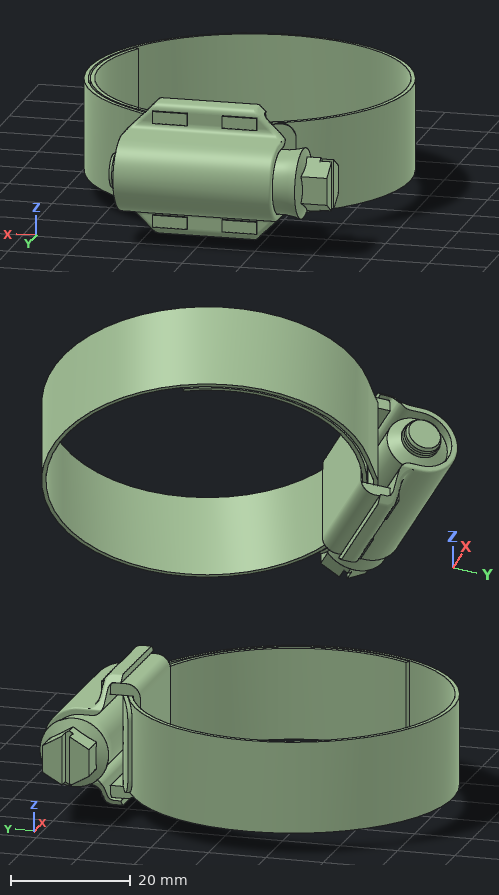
import cadquery as cq
import math


RING_RADIUS = 27.7
BAND_THICKNESS = 0.75
BAND_HALF_WIDTH = 7.95
LAP_RADIUS = 26.6
TONGUE_RADIUS = 28.5
CROSSING_HEIGHT = 27.1
LAP_END_ANGLE = -30
LAP_START_ANGLE = 65
RING_START_ANGLE = 109
RING_MIDWAY_ANGLE = 270
TONGUE_START_ANGLE = 69
TONGUE_END_ANGLE = 120
TONGUE_CORNER_RADIUS = 2.7

SCREW_AXIS_Y = 33.0
HOUSING_RADIUS = 6.7
SHEET = 1.2
HOUSING_HALF_LENGTH = 13.6
FLANGE_TOP_Y = 30.45
FLANGE_BOTTOM_Y = FLANGE_TOP_Y - SHEET
LIP_END_Y = 27.2
LIP_HALF_SPAN = 11.49
UPPER_BEND_RADIUS = 1.5
UNDERSIDE_BEND_RADIUS = 1.9
LIP_INNER_RADIUS = 0.95
TAPER_START_Z = 6.4
RIM_EDGE_RADIUS = 0.4
TAPER_EDGE_RADIUS = 0.8

SADDLE_HALF_LENGTH = 8.95
SADDLE_HALF_SPAN = 10.05
SADDLE_BOTTOM_Y = 24.05
SADDLE_FLOOR_THICKNESS = 1.2
SADDLE_CORNER_RADIUS = 2.5
TAB_TOP_Y = 30.85
TAB_GAP_HALF_LENGTH = 3.0

HEX_FLATS = 8.1
HEX_START_X = -22.65
DRIVE_SLOT_WIDTH = 1.35
DRIVE_SLOT_DEPTH = 2.0
HEAD_FACE_X = -18.45
HEAD_FACE_RADIUS = 4.05
RIM_X = -17.6
RIM_RADIUS = 6.0
SHANK_RADIUS = 5.4
SHANK_END_X = 11.7
NECK_X = 13.1
NECK_RADIUS = 3.4
RIVET_START_X = 13.75
RIVET_FACE_X = 14.0
RIVET_RADIUS = 3.2
RIVET_BEVEL_X = 14.6
RIVET_END_X = 15.15
RIVET_END_RADIUS = 2.8


def polar(radius, degrees):
    """Point in the XY plane at an angle from +X about the ring centre."""
    angle = math.radians(degrees)
    return (radius * math.cos(angle), radius * math.sin(angle))


def run_out_angle(ring_radius, tongue_radius):
    """Angle where the straight from the tongue start is tangent to the ring."""
    return TONGUE_START_ANGLE - math.degrees(math.acos(ring_radius / tongue_radius))


def make_band():
    """One strip: lap layer, under the screw, once around the ring, then over itself as a tongue."""
    ring_inner = RING_RADIUS - BAND_THICKNESS
    lap_inner = LAP_RADIUS - BAND_THICKNESS
    tongue_inner = TONGUE_RADIUS - BAND_THICKNESS
    lap_mid_angle = (LAP_END_ANGLE + LAP_START_ANGLE) / 2
    tongue_mid_angle = (TONGUE_START_ANGLE + TONGUE_END_ANGLE) / 2
    strip = (
        cq.Workplane("XY", origin=(0, 0, -BAND_HALF_WIDTH))
        .moveTo(*polar(LAP_RADIUS, LAP_END_ANGLE))
        .threePointArc(polar(LAP_RADIUS, lap_mid_angle), polar(LAP_RADIUS, LAP_START_ANGLE))
        .threePointArc((0, CROSSING_HEIGHT), polar(RING_RADIUS, RING_START_ANGLE))
        .threePointArc(
            polar(RING_RADIUS, RING_MIDWAY_ANGLE),
            polar(RING_RADIUS, run_out_angle(RING_RADIUS, TONGUE_RADIUS)),
        )
        .lineTo(*polar(TONGUE_RADIUS, TONGUE_START_ANGLE))
        .threePointArc(polar(TONGUE_RADIUS, tongue_mid_angle), polar(TONGUE_RADIUS, TONGUE_END_ANGLE))
        .lineTo(*polar(tongue_inner, TONGUE_END_ANGLE))
        .threePointArc(polar(tongue_inner, tongue_mid_angle), polar(tongue_inner, TONGUE_START_ANGLE))
        .lineTo(*polar(ring_inner, run_out_angle(ring_inner, tongue_inner)))
        .threePointArc(polar(ring_inner, RING_MIDWAY_ANGLE), polar(ring_inner, RING_START_ANGLE))
        .threePointArc((0, CROSSING_HEIGHT - BAND_THICKNESS), polar(lap_inner, LAP_START_ANGLE))
        .threePointArc(polar(lap_inner, lap_mid_angle), polar(lap_inner, LAP_END_ANGLE))
        .close()
        .extrude(2 * BAND_HALF_WIDTH)
    )
    tongue_x, tongue_y = polar(TONGUE_RADIUS - BAND_THICKNESS / 2, TONGUE_END_ANGLE)
    for z in (-BAND_HALF_WIDTH, BAND_HALF_WIDTH):
        corner = cq.selectors.NearestToPointSelector((tongue_x, tongue_y, z))
        strip = strip.edges(corner).fillet(TONGUE_CORNER_RADIUS)
    return strip


def make_housing():
    """Half-round sheet cover with a flange and a turned-down lip on each side."""
    inner_radius = HOUSING_RADIUS - SHEET
    lip_inner = LIP_HALF_SPAN - SHEET
    upper, under, lip_bend = UPPER_BEND_RADIUS, UNDERSIDE_BEND_RADIUS, LIP_INNER_RADIUS
    half = (
        cq.Workplane("YZ", origin=(-HOUSING_HALF_LENGTH, 0, 0))
        .moveTo(SCREW_AXIS_Y, HOUSING_RADIUS)
        .lineTo(FLANGE_TOP_Y + upper, HOUSING_RADIUS)
        .tangentArcPoint((FLANGE_TOP_Y, HOUSING_RADIUS + upper), relative=False)
        .lineTo(FLANGE_TOP_Y, LIP_HALF_SPAN - upper)
        .radiusArc((FLANGE_TOP_Y - upper, LIP_HALF_SPAN), -upper)
        .lineTo(LIP_END_Y, LIP_HALF_SPAN)
        .lineTo(LIP_END_Y, lip_inner)
        .lineTo(FLANGE_BOTTOM_Y - lip_bend, lip_inner)
        .tangentArcPoint((FLANGE_BOTTOM_Y, lip_inner - lip_bend), relative=False)
        .lineTo(FLANGE_BOTTOM_Y, inner_radius + under)
        .tangentArcPoint((FLANGE_BOTTOM_Y + under, inner_radius), relative=False)
        .lineTo(SCREW_AXIS_Y, inner_radius)
        .radiusArc((SCREW_AXIS_Y + inner_radius, 0), inner_radius)
        .lineTo(SCREW_AXIS_Y + HOUSING_RADIUS, 0)
        .radiusArc((SCREW_AXIS_Y, HOUSING_RADIUS), -HOUSING_RADIUS)
        .close()
        .extrude(2 * HOUSING_HALF_LENGTH)
    )
    cover = half.union(half.mirror("XY")).clean()

    lip_half_length = HOUSING_HALF_LENGTH + TAPER_START_Z - LIP_HALF_SPAN
    end_outline = (
        cq.Workplane("XZ", origin=(0, SCREW_AXIS_Y + HOUSING_RADIUS, 0))
        .polyline([
            (HOUSING_HALF_LENGTH, -TAPER_START_Z),
            (HOUSING_HALF_LENGTH, TAPER_START_Z),
            (lip_half_length, LIP_HALF_SPAN),
            (-lip_half_length, LIP_HALF_SPAN),
            (-HOUSING_HALF_LENGTH, TAPER_START_Z),
            (-HOUSING_HALF_LENGTH, -TAPER_START_Z),
            (-lip_half_length, -LIP_HALF_SPAN),
            (lip_half_length, -LIP_HALF_SPAN),
        ])
        .close()
        .extrude(SCREW_AXIS_Y + HOUSING_RADIUS - LIP_END_Y)
    )
    cover = cover.intersect(end_outline)

    rim_points = [(x, SCREW_AXIS_Y + HOUSING_RADIUS, 0) for x in (-HOUSING_HALF_LENGTH, HOUSING_HALF_LENGTH)]
    flange_mid_z = (HOUSING_RADIUS + LIP_HALF_SPAN) / 2
    flange_mid_x = HOUSING_HALF_LENGTH + TAPER_START_Z - flange_mid_z
    taper_points = [
        (x, FLANGE_TOP_Y, z)
        for x in (-flange_mid_x, flange_mid_x)
        for z in (-flange_mid_z, flange_mid_z)
    ]
    edges = [(p, TAPER_EDGE_RADIUS) for p in taper_points] + [(p, RIM_EDGE_RADIUS) for p in rim_points]
    for point, radius in edges:
        nearest = cq.selectors.NearestToPointSelector(point)
        cover = cover.edges(nearest).fillet(radius)
    return cover


def make_saddle():
    """Channel under the band whose four tabs pass up through the housing flanges."""
    height = TAB_TOP_Y - SADDLE_BOTTOM_Y
    channel = (
        cq.Workplane("XY")
        .box(2 * SADDLE_HALF_LENGTH, height, 2 * SADDLE_HALF_SPAN, centered=(True, False, True))
        .translate((0, SADDLE_BOTTOM_Y, 0))
        .edges("|X and <Y")
        .fillet(SADDLE_CORNER_RADIUS)
    )
    cavity = (
        cq.Workplane("XY")
        .box(2 * SADDLE_HALF_LENGTH, height, 2 * BAND_HALF_WIDTH, centered=(True, False, True))
        .translate((0, SADDLE_BOTTOM_Y + SADDLE_FLOOR_THICKNESS, 0))
    )
    tab_gap = (
        cq.Workplane("XY")
        .box(2 * TAB_GAP_HALF_LENGTH, height, 2 * SADDLE_HALF_SPAN, centered=(True, False, True))
        .translate((0, FLANGE_BOTTOM_Y, 0))
    )
    return channel.cut(cavity).cut(tab_gap)


def make_screw():
    """Slotted hexagon head, flared collar, plain shank and a bevelled rivet end."""
    body = (
        cq.Workplane("XZ")
        .moveTo(HEAD_FACE_X, 0)
        .lineTo(RIVET_END_X, 0)
        .lineTo(RIVET_END_X, RIVET_END_RADIUS)
        .lineTo(RIVET_BEVEL_X, RIVET_RADIUS)
        .lineTo(RIVET_FACE_X, RIVET_RADIUS)
        .lineTo(RIVET_START_X, NECK_RADIUS)
        .lineTo(NECK_X, NECK_RADIUS)
        .lineTo(SHANK_END_X, SHANK_RADIUS)
        .lineTo(-HOUSING_HALF_LENGTH, SHANK_RADIUS)
        .tangentArcPoint((RIM_X, RIM_RADIUS), relative=False)
        .lineTo(HEAD_FACE_X, HEAD_FACE_RADIUS)
        .close()
        .revolve(360, (0, 0, 0), (1, 0, 0))
    )
    hex_head = (
        cq.Workplane("YZ", origin=(HEX_START_X, 0, 0))
        .polygon(6, HEX_FLATS, circumscribed=True)
        .extrude(RIM_X - HEX_START_X)
    )
    drive_slot = (
        cq.Workplane("XY")
        .box(DRIVE_SLOT_DEPTH, DRIVE_SLOT_WIDTH, 2 * HEX_FLATS, centered=(False, True, True))
        .translate((HEX_START_X, 0, 0))
    )
    return body.union(hex_head).cut(drive_slot).translate((0, SCREW_AXIS_Y, 0))


screw = make_screw()
band_strip = make_band()
saddle = make_saddle().cut(band_strip)
housing = make_housing().cut(saddle)
band = band_strip.cut(screw)

result = cq.Compound.makeCompound([band.val(), housing.val(), saddle.val(), screw.val()])